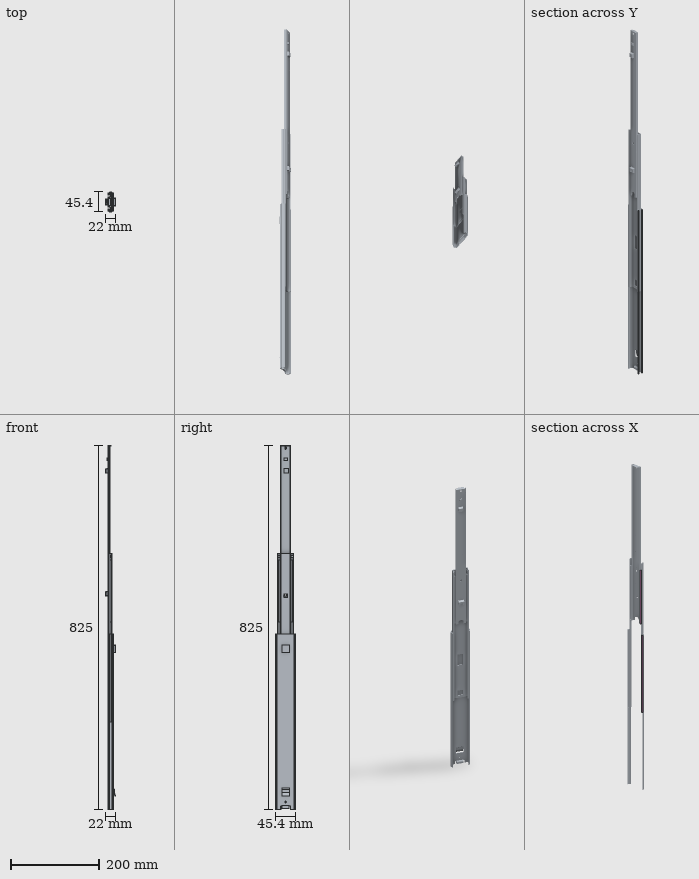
import cadquery as cq


TOTAL_LENGTH = 825.0
OUTER_HALF_WIDTH = 22.7
RAIL_DEPTH = 12.0
OVERALL_DEPTH = 22.0
SHEET = 1.2
FRONT_X = -RAIL_DEPTH / 2
BACK_X = RAIL_DEPTH / 2
HOOK_REACH = (OVERALL_DEPTH - RAIL_DEPTH) / 2

OUTER_TOP = 398.5
MIDDLE_BOTTOM = 199.0
MIDDLE_TOP = 581.0
INNER_BOTTOM = 425.0

OUTER_FLANGE_Y = 20.2
OUTER_LIP_EDGE = 18.0
OUTER_RACE_BULGE = OUTER_HALF_WIDTH - OUTER_FLANGE_Y
OUTER_RACE_HALF_WIDTH = 3.7
OUTER_INSIDE_RACE_HALF_WIDTH = 2.9

MIDDLE_FLANGE_Y = 18.0
MIDDLE_LIP_EDGE = 16.0
MIDDLE_BACK_X = 3.7
MIDDLE_RACE_BULGE = -0.5
MIDDLE_RACE_HALF_WIDTH = 2.0
WEB_STEP = 1.0
WEB_STEP_INNER_Y = 10.0
WEB_STEP_OUTER_Y = 12.0

INNER_FLANGE_Y = 11.5
INNER_BACK_X = -1.0
INNER_RACE_X = -3.0
INNER_RACE_HALF_WIDTH = 1.2
INNER_RACE_DEPTH = 0.5

INNER_STOP_HALF_WIDTH = 8.0
INNER_STOP_BACK_X = 1.0
OUTER_NOTCH_HALF_WIDTH = 11.0
OUTER_NOTCH_HEIGHT = 8.0
OUTER_STOP_HALF_WIDTH = 8.0
OUTER_STOP_BOTTOM = 2.5
OUTER_STOP_DEPTH = 5.0
OUTER_STOP_BEND = 3.0

PILOT_WIDTH = 2.5
PILOT_HEIGHT = 5.0
INNER_PILOT_HEIGHTS = (819.0, 553.5)
OUTER_PILOT_Z = 17.0

HOOK_HALF_WIDTH = 8.7
HOOK_HEIGHT = 17.0
UPPER_HOOK_BOTTOM = 355.5
LOWER_HOOK_BOTTOM = 31.0
LOWER_HOOK_STANDOFF = 2.5
LOWER_HOOK_FLARE = 7.5

BUMP_BOTTOM = 572.0
BUMP_HEIGHT = 4.0
BUMP_DEPTH = 2.0

SMALL_TAB_BOTTOM = 791.0
SMALL_TAB_HEIGHT = 6.0
SMALL_TAB_REACH = 2.5
SMALL_TAB_RAMP_Y = -3.0
SMALL_TAB_CREST_Y = 1.0
SMALL_TAB_END_Y = 4.0
UPPER_TAB_BOTTOM = 762.0
UPPER_TAB_Y = (-4.0, 7.0)
LOWER_TAB_BOTTOM = 484.0
LOWER_TAB_Y = (-7.0, 7.0)
TAB_HEIGHT = 11.0
TAB_SLOPE = 2.0
FORK_WIDTH = 4.0
FORK_HEIGHT = 4.0

ARCH_HALF_WIDTH = 6.2
ARCH_TOP = 436.0
WINDOW_HALF_WIDTH = 6.2
MIDDLE_WINDOWS = ((205.5, 220.0), (295.0, 327.5))
SIGHT_HOLE = 8.0

CAGE_CLEARANCE = 0.4
CAGE_HALF_DEPTH = 2.0
OUTER_CAGE_BOTTOM = MIDDLE_BOTTOM
OUTER_CAGE_TOP = OUTER_TOP
OUTER_CAGE_SEAT_Y = 21.0
INNER_CAGE_BOTTOM = INNER_BOTTOM
INNER_CAGE_TOP = 565.0


def block(x_range, y_range, z_range):
    """Box given by its lower and upper limits along each axis."""
    limits = (x_range, y_range, z_range)
    size = [high - low for low, high in limits]
    corner = [low for low, high in limits]
    return cq.Workplane("XY").box(*size, centered=False).translate(tuple(corner))


def tab_prism(profile_xz, y_range):
    """Prism with an X-Z profile, spanning a range of Y."""
    y_low, y_high = y_range
    return cq.Workplane("XZ", origin=(0, y_high, 0)).polyline(profile_xz).close().extrude(y_high - y_low)


def rail_channel(web_back, flange_y, lip_edge, race_half_widths, race_bulge, z_range):
    """Channel open toward -X with inturned lips and a curved ball race in each flange.

    web_back lists the X-Y points of the web's back face, from the middle out to the corner.
    race_half_widths gives the race's half width outside and inside the flange.
    """
    outside_race, inside_race = race_half_widths
    back_x = web_back[-1][0]
    inside_y = flange_y - SHEET
    web_front = [(x - SHEET, y) for x, y in web_back[:-1]] + [(back_x - SHEET, inside_y)]
    half_channel = (
        cq.Workplane("XY", origin=(0, 0, z_range[0]))
        .polyline(web_back)
        .lineTo(outside_race, flange_y)
        .threePointArc((0, flange_y + race_bulge), (-outside_race, flange_y))
        .lineTo(FRONT_X, flange_y)
        .lineTo(FRONT_X, lip_edge)
        .lineTo(FRONT_X + SHEET, lip_edge)
        .lineTo(FRONT_X + SHEET, inside_y)
        .lineTo(-inside_race, inside_y)
        .threePointArc((0, inside_y + race_bulge), (inside_race, inside_y))
    )
    for point in reversed(web_front):
        half_channel = half_channel.lineTo(*point)
    half_channel = half_channel.close().extrude(z_range[1] - z_range[0])
    return half_channel.union(half_channel.mirror("XZ"))


def pilot_slot(z_center):
    """Small upright round-ended slot through the inner rail's web."""
    web = cq.Workplane("YZ", origin=(FRONT_X, 0, z_center))
    return web.slot2D(PILOT_HEIGHT, PILOT_WIDTH, 90).extrude(SHEET)


def make_outer_rail():
    web_x = (BACK_X - SHEET, BACK_X)
    rail = rail_channel(
        [(BACK_X, 0), (BACK_X, OUTER_FLANGE_Y)],
        OUTER_FLANGE_Y,
        OUTER_LIP_EDGE,
        (OUTER_RACE_HALF_WIDTH, OUTER_INSIDE_RACE_HALF_WIDTH),
        OUTER_RACE_BULGE,
        (0, OUTER_TOP),
    )

    rail = rail.cut(block(web_x, (-OUTER_NOTCH_HALF_WIDTH, OUTER_NOTCH_HALF_WIDTH), (0, OUTER_NOTCH_HEIGHT)))
    stop_y = (-OUTER_STOP_HALF_WIDTH, OUTER_STOP_HALF_WIDTH)
    stop_top = OUTER_NOTCH_HEIGHT + SHEET
    stop = block((BACK_X - OUTER_STOP_DEPTH, BACK_X), stop_y, (OUTER_STOP_BOTTOM, stop_top))
    rail = rail.union(stop.edges("<X and >Z").fillet(OUTER_STOP_BEND))

    pilot = cq.Workplane("YZ", origin=(web_x[0], 0, OUTER_PILOT_Z)).circle(PILOT_WIDTH / 2).extrude(SHEET)
    rail = rail.cut(pilot)

    hook_y = (-HOOK_HALF_WIDTH, HOOK_HALF_WIDTH)
    upper_z = (UPPER_HOOK_BOTTOM, UPPER_HOOK_BOTTOM + HOOK_HEIGHT)
    rail = rail.union(block((BACK_X, BACK_X + HOOK_REACH), hook_y, upper_z))

    lower_top = LOWER_HOOK_BOTTOM + HOOK_HEIGHT
    rail = rail.cut(block(web_x, hook_y, (LOWER_HOOK_BOTTOM, lower_top)))
    stand_x = BACK_X + LOWER_HOOK_STANDOFF
    tip_x = BACK_X + HOOK_REACH
    bend_z = lower_top - LOWER_HOOK_STANDOFF
    flare_z = LOWER_HOOK_BOTTOM + LOWER_HOOK_FLARE
    hook = tab_prism(
        [
            (BACK_X - SHEET, lower_top),
            (BACK_X, lower_top),
            (stand_x, bend_z),
            (stand_x, flare_z),
            (tip_x, LOWER_HOOK_BOTTOM),
            (tip_x - SHEET, LOWER_HOOK_BOTTOM),
            (stand_x - SHEET, flare_z),
            (stand_x - SHEET, bend_z),
        ],
        hook_y,
    )
    return rail.union(hook)


def make_middle_rail():
    step_x = MIDDLE_BACK_X - WEB_STEP
    rail = rail_channel(
        [
            (step_x, 0),
            (step_x, WEB_STEP_INNER_Y),
            (MIDDLE_BACK_X, WEB_STEP_OUTER_Y),
            (MIDDLE_BACK_X, MIDDLE_FLANGE_Y),
        ],
        MIDDLE_FLANGE_Y,
        MIDDLE_LIP_EDGE,
        (MIDDLE_RACE_HALF_WIDTH, MIDDLE_RACE_HALF_WIDTH),
        MIDDLE_RACE_BULGE,
        (MIDDLE_BOTTOM, MIDDLE_TOP),
    )

    bump_x = (MIDDLE_BACK_X - SHEET - BUMP_DEPTH, MIDDLE_BACK_X - SHEET)
    bump = block(bump_x, (WEB_STEP_OUTER_Y, MIDDLE_FLANGE_Y - SHEET), (BUMP_BOTTOM, BUMP_BOTTOM + BUMP_HEIGHT))
    rail = rail.union(bump).union(bump.mirror("XZ"))

    web_x = (step_x - SHEET, step_x)
    for window_z in MIDDLE_WINDOWS:
        rail = rail.cut(block(web_x, (-WINDOW_HALF_WIDTH, WINDOW_HALF_WIDTH), window_z))
    sight_z = (LOWER_TAB_BOTTOM - SIGHT_HOLE / 2, LOWER_TAB_BOTTOM + SIGHT_HOLE / 2)
    return rail.cut(block(web_x, (-SIGHT_HOLE / 2, SIGHT_HOLE / 2), sight_z))


def raised_tab(y_range, z_low):
    """Raised tab standing out toward -X from the inner web, sloped at its top."""
    z_high = z_low + TAB_HEIGHT
    web_back = FRONT_X + SHEET
    tip_x = FRONT_X - HOOK_REACH
    profile = [
        (web_back, z_high),
        (FRONT_X, z_high),
        (tip_x, z_high - TAB_SLOPE),
        (tip_x, z_low),
        (web_back, z_low),
    ]
    return tab_prism(profile, y_range)


def make_inner_rail():
    web_x = (FRONT_X, FRONT_X + SHEET)
    z_range = (INNER_BOTTOM, TOTAL_LENGTH)
    inside_y = INNER_FLANGE_Y - SHEET
    rail = block((FRONT_X, INNER_BACK_X), (-INNER_FLANGE_Y, INNER_FLANGE_Y), z_range)
    rail = rail.cut(block((web_x[1], INNER_BACK_X), (-inside_y, inside_y), z_range))

    race = (
        cq.Workplane("XY", origin=(INNER_RACE_X, INNER_FLANGE_Y, INNER_BOTTOM))
        .moveTo(-INNER_RACE_HALF_WIDTH, 0)
        .threePointArc((0, -INNER_RACE_DEPTH), (INNER_RACE_HALF_WIDTH, 0))
        .close()
        .extrude(TOTAL_LENGTH - INNER_BOTTOM)
    )
    rail = rail.cut(race).cut(race.mirror("XZ"))

    stop_y = (-INNER_STOP_HALF_WIDTH, INNER_STOP_HALF_WIDTH)
    rail = rail.union(block((FRONT_X, INNER_STOP_BACK_X), stop_y, (TOTAL_LENGTH - SHEET, TOTAL_LENGTH)))

    arch_center = ARCH_TOP - ARCH_HALF_WIDTH
    arch = (
        cq.Workplane("YZ", origin=(FRONT_X, 0, 0))
        .moveTo(-ARCH_HALF_WIDTH, INNER_BOTTOM)
        .lineTo(-ARCH_HALF_WIDTH, arch_center)
        .threePointArc((0, ARCH_TOP), (ARCH_HALF_WIDTH, arch_center))
        .lineTo(ARCH_HALF_WIDTH, INNER_BOTTOM)
        .close()
        .extrude(SHEET)
    )
    rail = rail.cut(arch)

    for hole_z in INNER_PILOT_HEIGHTS:
        rail = rail.cut(pilot_slot(hole_z))

    rail = rail.union(raised_tab(UPPER_TAB_Y, UPPER_TAB_BOTTOM))
    rail = rail.union(raised_tab(LOWER_TAB_Y, LOWER_TAB_BOTTOM))

    fork_x = (FRONT_X - HOOK_REACH, web_x[1])
    fork_z = (LOWER_TAB_BOTTOM, LOWER_TAB_BOTTOM + FORK_HEIGHT)
    rail = rail.cut(block(fork_x, (-FORK_WIDTH / 2, FORK_WIDTH / 2), fork_z))

    small_tip_x = FRONT_X - SMALL_TAB_REACH
    small_tab = (
        cq.Workplane("XY", origin=(0, 0, SMALL_TAB_BOTTOM))
        .moveTo(web_x[1], SMALL_TAB_RAMP_Y)
        .lineTo(FRONT_X, SMALL_TAB_RAMP_Y)
        .lineTo(small_tip_x, SMALL_TAB_CREST_Y)
        .lineTo(small_tip_x, SMALL_TAB_END_Y)
        .lineTo(web_x[1], SMALL_TAB_END_Y)
        .close()
        .extrude(SMALL_TAB_HEIGHT)
    )
    return rail.union(small_tab)


def make_cage(side, y_near, y_far, z_range):
    """Strip between two rail flanges on the given side of the slide."""
    y_low, y_high = sorted((side * (y_near + CAGE_CLEARANCE), side * (y_far - CAGE_CLEARANCE)))
    return block((-CAGE_HALF_DEPTH, CAGE_HALF_DEPTH), (y_low, y_high), z_range)


outer_rail = make_outer_rail()
middle_rail = make_middle_rail()
inner_rail = make_inner_rail()

cages = []
for side in (-1, 1):
    outer_gap = (MIDDLE_FLANGE_Y, OUTER_CAGE_SEAT_Y)
    inner_gap = (INNER_FLANGE_Y, MIDDLE_FLANGE_Y - SHEET + MIDDLE_RACE_BULGE)
    cages.append(make_cage(side, *outer_gap, (OUTER_CAGE_BOTTOM, OUTER_CAGE_TOP)).val())
    cages.append(make_cage(side, *inner_gap, (INNER_CAGE_BOTTOM, INNER_CAGE_TOP)).val())

result = cq.Compound.makeCompound([outer_rail.val(), middle_rail.val(), inner_rail.val(), *cages])